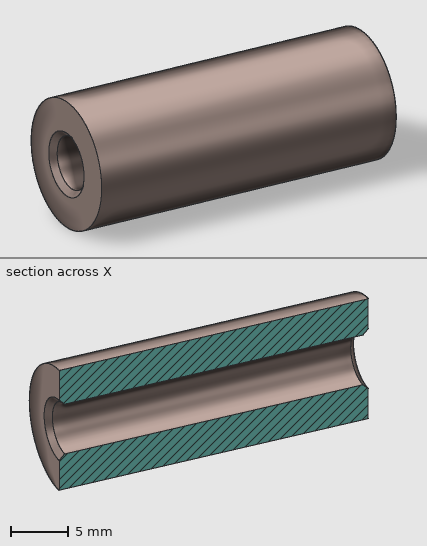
import cadquery as cq

length = 30.0
outer_diameter = 12.0
bore_diameter = 4.92
bore_mouth_diameter = 6.0

outer_radius = outer_diameter / 2
bore_radius = bore_diameter / 2
mouth_radius = bore_mouth_diameter / 2
chamfer_size = mouth_radius - bore_radius
half_length = length / 2
chamfer_start = half_length - chamfer_size

wall_section = (
    cq.Workplane("XY")
    .moveTo(outer_radius, -half_length)
    .lineTo(outer_radius, half_length)
    .lineTo(mouth_radius, half_length)
    .lineTo(bore_radius, chamfer_start)
    .lineTo(bore_radius, -chamfer_start)
    .lineTo(mouth_radius, -half_length)
    .close()
)

result = wall_section.revolve(360, (0, 0, 0), (0, 1, 0))